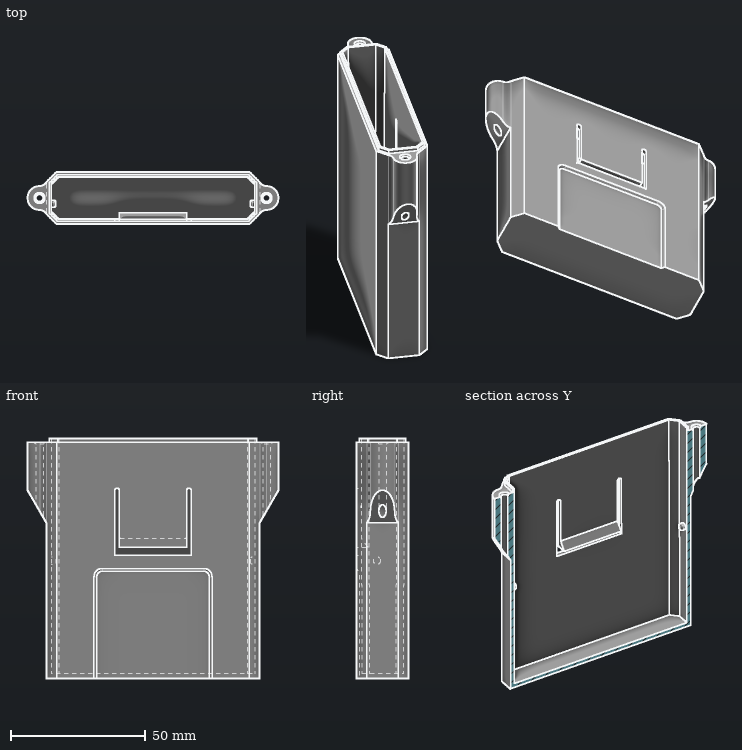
import cadquery as cq
import math

body_length = 79.6
body_width = 19.6
total_height = 89.5
lip_height = 1.4
body_height = total_height - lip_height
corner_cut = 3.8
lip_inset = 1.0
lip_thickness = 0.75
floor_thickness = 2.0
wall_draft = 0.3

overall_length = 93.6
ear_radius = 4.5
ear_center_x = overall_length / 2 - ear_radius
ear_bottom_z = 58.0
ear_slope_angle = 60.0
screw_diameter = 2.7
countersink_diameter = 4.0
countersink_angle = 90.0

latch_outer_width = 28.5
latch_slot_width = 1.7
latch_bottom_gap = 3.0
latch_bottom_z = 46.0
latch_top_z = 70.95
latch_inner_width = latch_outer_width - 2 * latch_slot_width
latch_cut_depth = 3.7
catch_reach = 2.2
catch_height = 4.7

recess_width = 44.0
recess_height = 41.0
recess_depth = 1.0
recess_corner_radius = 3.0
recess_side_angle = 45.0

pin_diameter = 2.7
pin_reach = 1.8
pin_tip_radius = 0.8
pin_y = -2.15
pin_z = body_height / 2

front_y = -body_width / 2
half_length = body_length / 2
wall_thickness = lip_inset + lip_thickness


def octagon_points(inset, extra_y_inset=0.0):
    """Body outline moved inward; the corner cuts stay parallel."""
    half_x = half_length - inset
    half_y = body_width / 2 - inset - extra_y_inset
    cut = corner_cut - inset * (2 - math.sqrt(2))
    return [
        (-half_x, -half_y + cut), (-half_x + cut, -half_y),
        (half_x - cut, -half_y), (half_x, -half_y + cut),
        (half_x, half_y - cut), (half_x - cut, half_y),
        (-half_x + cut, half_y), (-half_x, half_y - cut),
    ]


def octagon_prism(inset, bottom_z, height):
    outline = cq.Workplane("XY").workplane(offset=bottom_z).polyline(octagon_points(inset))
    return outline.close().extrude(height)


def cavity():
    """Interior space, a little narrower at the floor than at the mouth."""
    return (
        cq.Workplane("XY").workplane(offset=floor_thickness)
        .polyline(octagon_points(wall_thickness, wall_draft)).close()
        .workplane(offset=total_height - floor_thickness)
        .polyline(octagon_points(wall_thickness)).close()
        .loft(ruled=True)
    )


def ear():
    """Ear on the +X end, blended into the vertical body edges and sloped underneath."""
    root_x = half_length - wall_thickness / 2
    corner_y = body_width / 2 - corner_cut
    blend_run = ear_center_x - half_length
    blend_rise = corner_y - ear_radius
    blend_radius = (blend_run**2 + blend_rise**2) / (2 * blend_rise)
    half_angle = math.atan2(blend_rise, blend_run)
    mid_x = ear_center_x - blend_radius * math.sin(half_angle)
    mid_y = ear_radius + blend_radius * (1 - math.cos(half_angle))
    profile = (
        cq.Workplane("XY").workplane(offset=ear_bottom_z)
        .moveTo(root_x, -corner_y)
        .lineTo(half_length, -corner_y)
        .threePointArc((mid_x, -mid_y), (ear_center_x, -ear_radius))
        .threePointArc((overall_length / 2, 0), (ear_center_x, ear_radius))
        .threePointArc((mid_x, mid_y), (half_length, corner_y))
        .lineTo(root_x, corner_y)
        .close()
        .extrude(body_height - ear_bottom_z)
    )
    ear_reach = overall_length / 2 - half_length
    slope_rise = ear_reach * math.tan(math.radians(ear_slope_angle))
    underside = (
        cq.Workplane("XZ")
        .polyline([
            (half_length, ear_bottom_z),
            (half_length + ear_reach, ear_bottom_z),
            (half_length + ear_reach, ear_bottom_z + slope_rise),
        ])
        .close().extrude(body_width / 2, both=True)
    )
    return (
        profile.cut(underside)
        .faces(">Z").workplane(origin=(ear_center_x, 0, body_height))
        .cskHole(screw_diameter, countersink_diameter, countersink_angle)
    )


def latch_slot():
    """U-shaped slot with rounded upper ends."""
    leg_x = (latch_outer_width - latch_slot_width) / 2
    leg_top = latch_top_z - latch_slot_width / 2
    cutter = (
        cq.Workplane("XZ", origin=(0, front_y, 0))
        .center(0, latch_bottom_z + latch_bottom_gap / 2)
        .rect(latch_outer_width, latch_bottom_gap).extrude(-latch_cut_depth)
    )
    for x in (-leg_x, leg_x):
        leg = (
            cq.Workplane("XZ", origin=(x, front_y, 0))
            .moveTo(-latch_slot_width / 2, latch_bottom_z)
            .lineTo(latch_slot_width / 2, latch_bottom_z)
            .lineTo(latch_slot_width / 2, leg_top)
            .threePointArc((0, latch_top_z), (-latch_slot_width / 2, leg_top))
            .close().extrude(-latch_cut_depth)
        )
        cutter = cutter.union(leg)
    return cutter


def latch_catch():
    """Wedge on the inner side of the latch tongue, level at its lower end."""
    bottom_z = latch_bottom_z + latch_bottom_gap
    root_y = front_y + wall_thickness / 2
    tip_y = front_y + wall_thickness + wall_draft + catch_reach
    return (
        cq.Workplane("YZ")
        .polyline([(root_y, bottom_z), (tip_y, bottom_z), (root_y, bottom_z + catch_height)])
        .close().extrude(latch_inner_width / 2, both=True)
    )


def recess():
    """Recess whose sides slope inward toward its floor."""
    outline = cq.Sketch().rect(recess_width, 2 * recess_height).vertices().fillet(recess_corner_radius)
    return (
        cq.Workplane("XZ", origin=(0, front_y, 0))
        .placeSketch(outline)
        .extrude(-recess_depth, taper=recess_side_angle)
    )


def pin():
    """Round-tipped pin on the +X end wall, pointing inward."""
    root_x = half_length - wall_thickness / 2
    return (
        cq.Workplane("YZ", origin=(root_x, pin_y, pin_z))
        .circle(pin_diameter / 2)
        .extrude(-(pin_reach + wall_thickness / 2))
        .faces("<X").edges().fillet(pin_tip_radius)
    )


def on_both_ends(feature):
    return feature.union(feature.mirror("YZ"))


body = octagon_prism(0, 0, body_height)
lip = octagon_prism(lip_inset, body_height, lip_height)
shell = body.union(lip).union(on_both_ends(ear())).cut(cavity())
shell = shell.cut(recess()).union(latch_catch()).cut(latch_slot())
result = shell.union(on_both_ends(pin()))